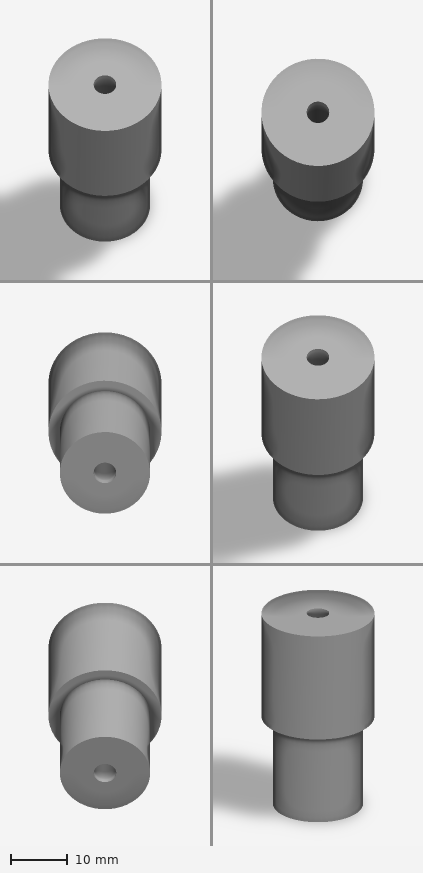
import cadquery as cq

total_height = 37.0
head_diameter = 20.0
head_height = 20.0
shank_diameter = 16.0
bore_diameter = 4.0

shank_height = total_height - head_height

shank = cq.Workplane("XY").circle(shank_diameter / 2).extrude(shank_height)
stepped_body = shank.faces(">Z").workplane().circle(head_diameter / 2).extrude(head_height)

result = stepped_body.faces(">Z").workplane().hole(bore_diameter)